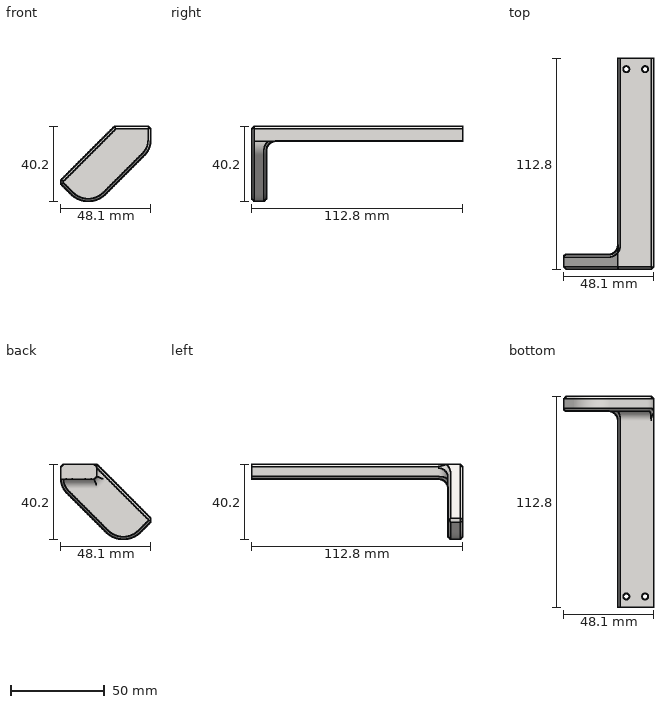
import cadquery as cq
import math

total_length = 112.8
arm_width = 19.3
thickness = 8.0
plate_length = 42.2
plate_width = 22.2
tip_radius = 13.0
shoulder_radius = 11.0
root_radius = 5.0
bevel = 1.5
hole_diameter = 3.2
hole_end_distance = 5.9
hole_side_distance = 4.6

diagonal = math.sqrt(0.5)


def on_slope(along, across):
    """X, Z of a place measured down the slope and square to it."""
    return ((across - along) * diagonal, -(along + across) * diagonal)


def make_plate():
    shoulder = (arm_width, arm_width - plate_width / diagonal)
    outline = [
        (0, 0),
        (arm_width, 0),
        shoulder,
        on_slope(plate_length, plate_width),
        on_slope(plate_length, 0),
    ]
    plate = cq.Workplane("XZ").polyline(outline).close().extrude(-thickness)

    def edge_at(point):
        return cq.selectors.NearestToPointSelector((point[0], thickness / 2, point[1]))

    plate = plate.edges("|Y").edges(edge_at(outline[2])).fillet(shoulder_radius)
    plate = plate.edges("|Y").edges(edge_at(outline[3])).fillet(tip_radius)
    plate = plate.edges("|Y").edges(edge_at(outline[4])).chamfer(bevel)
    return plate.faces("<Y").chamfer(bevel)


def make_arm():
    start = bevel
    arm = cq.Workplane("XY").box(arm_width, total_length - start, thickness, centered=False)
    arm = arm.translate((0, start, -thickness))
    return arm.edges("|Y and <X and <Z").chamfer(bevel)


def fillet_root(body):
    """Round the inner corner around the left side and underside of the arm."""
    margin = 0.1
    root = cq.selectors.BoxSelector(
        (-margin, thickness - margin, -thickness - margin),
        (arm_width + margin, thickness + margin, margin),
    )
    return body.edges(root).fillet(root_radius)


def bevel_plate_back(body):
    """Bevel the rim of the plate's back face, from the end cap round to the lower edge."""
    end_cap = on_slope(plate_length, plate_width / 2)
    tip_center = on_slope(plate_length - tip_radius, plate_width - tip_radius)
    tip = (tip_center[0], tip_center[1] - tip_radius)
    lower_edge = on_slope(plate_length / 2, plate_width)
    rim = []
    for x, z in (end_cap, tip, lower_edge):
        rim += body.edges(cq.selectors.NearestToPointSelector((x, thickness, z))).vals()
    return body.newObject(rim).chamfer(bevel)


def arm_bevel_cutter():
    """Wedge along the arm's upper-left edge, ending in a cone around the root fillet."""
    root_end = thickness + root_radius
    wedge = (
        cq.Workplane("XZ", origin=(0, root_end, 0))
        .polyline([(0, -bevel), (bevel, 0), (0, 0)])
        .close()
        .extrude(root_end - total_length)
    )
    cone_base = cq.Vector(-root_radius, root_end, -bevel)
    cone = cq.Workplane("XY").add(
        cq.Solid.makeCone(root_radius, root_radius + bevel, bevel, pnt=cone_base)
    )
    cone_quarter = cq.Workplane("XY").box(2 * root_radius, 2 * root_radius, 2 * bevel)
    cone_quarter = cone_quarter.translate((0, root_end - root_radius, 0))
    return wedge.union(cone.intersect(cone_quarter))


def slope_section(drop, growth):
    """Outline of the space beside the root fillet, on the sloped plane lowered by drop."""
    stretch = 1 / diagonal
    slope_plane = cq.Plane(origin=(0, 0, -drop), xDir=(1, 0, 1), normal=(-1, 0, 1))
    radius = root_radius + growth
    center_along = -root_radius * stretch
    root_end = thickness + root_radius
    return (
        cq.Workplane(slope_plane)
        .moveTo(-plate_length - bevel, root_end)
        .lineTo(-plate_length - bevel, root_end - radius)
        .lineTo(center_along, root_end - radius)
        .ellipseArc(radius * stretch, radius, -90, 0, startAtCurrent=True)
        .close()
        .wires()
        .val()
    )


def plate_bevel_cutter():
    """Taper along the plate's sloped back edge and up the root fillet."""
    lower = slope_section(bevel / diagonal, 0)
    upper = slope_section(0, bevel)
    return cq.Workplane("XY").add(cq.Solid.makeLoft([lower, upper], True))


def hole_cutter():
    hole_y = total_length - hole_end_distance
    places = [(hole_side_distance, hole_y), (arm_width - hole_side_distance, hole_y)]
    return cq.Workplane("XY").pushPoints(places).circle(hole_diameter / 2).extrude(-thickness)


body = fillet_root(make_plate().union(make_arm()))
body = bevel_plate_back(body)
body = body.edges("|Y and >X and >Z").chamfer(bevel)
result = body.cut(arm_bevel_cutter()).cut(plate_bevel_cutter()).cut(hole_cutter())